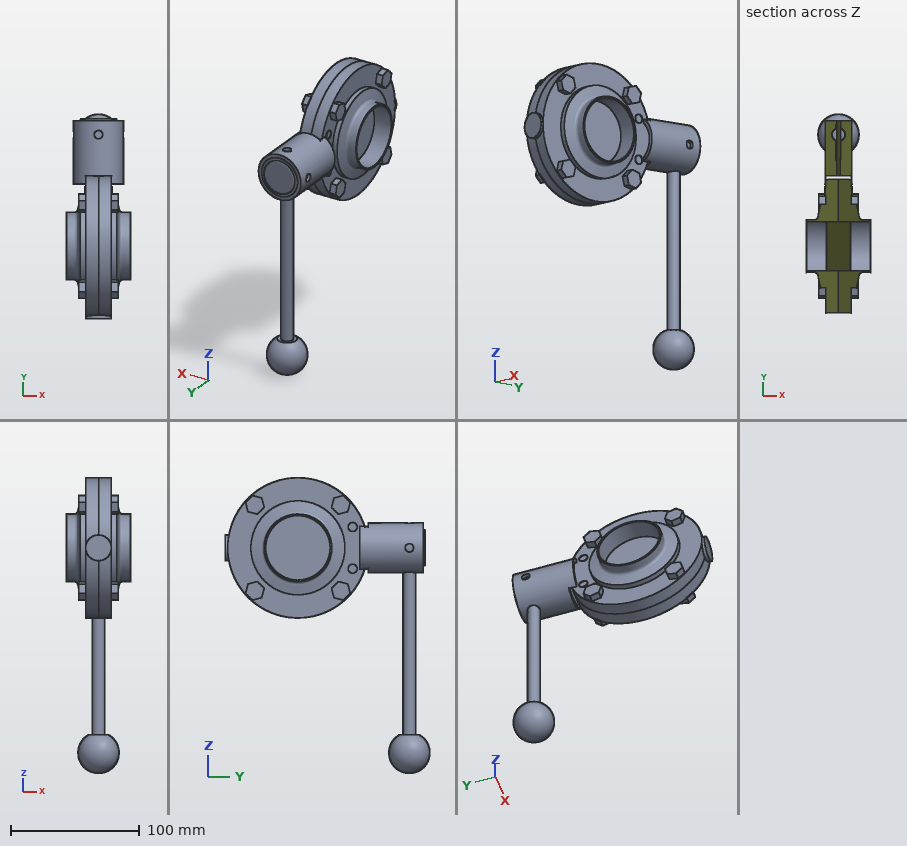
import cadquery as cq
import math


flange_radius = 54.5
flange_thickness = 20.0
body_length = 50.0
bore_radius = 25.0
tube_radius = 26.3
hub_radius = 36.5
hub_edge_x = 14.2
neck_x = 16.0
neck_radius = 28.9
neck_fillet_end_x = 18.7
flange_face_x = flange_thickness / 2

bolt_circle_radius = 47.2
bolt_head_flats = 13.0
bolt_head_height = 5.5
bolt_count = 4
stop_pin_radius = 3.5
stop_pin_height = 0.5
stop_pin_y = 42.5
stop_pin_z = 16.2

disc_thickness = 19.0
trunnion_radius = 6.0
stem_radius = 16.5
stem_tip_radius = 14.0
stem_tip_y = 98.7
stem_tip_fillet = 0.6
bottom_cap_radius = 10.0
bottom_cap_end_y = -56.5

sleeve_radius = 19.5
sleeve_start_y = 48.0
sleeve_end_y = 97.4
sleeve_hole_diameter = 6.5

ball_radius = 16.0
ball_flat_height = 14.0
rod_diameter = 10.0
total_length_y = 159.0
total_height_z = 229.5
lever_y = bottom_cap_end_y + total_length_y - ball_radius
ball_center_z = flange_radius - total_height_z + ball_radius


def cylinder_along_y(radius, start_y, end_y):
    """Cylinder on the stem axis between two Y positions."""
    base = cq.Workplane("XZ", origin=(0, start_y, 0))
    return base.circle(radius).extrude(start_y - end_y)


def neck_arc_middle():
    """Middle point of the hollow arc that meets the tube tangentially and ends at the neck."""
    run = neck_fillet_end_x - neck_x
    rise = neck_radius - tube_radius
    arc_radius = (run**2 + rise**2) / (2 * rise)
    half_sweep = math.asin(run / arc_radius) / 2
    x = neck_fillet_end_x - arc_radius * math.sin(half_sweep)
    radius = tube_radius + arc_radius * (1 - math.cos(half_sweep))
    return (x, radius)


def make_right_half():
    """Half of the body on the +X side, with its bolt heads and stop pins."""
    half = (
        cq.Workplane("XY")
        .moveTo(0, bore_radius)
        .lineTo(0, flange_radius)
        .lineTo(flange_face_x, flange_radius)
        .lineTo(flange_face_x, hub_radius)
        .lineTo(hub_edge_x, hub_radius)
        .lineTo(neck_x, neck_radius)
        .threePointArc(neck_arc_middle(), (neck_fillet_end_x, tube_radius))
        .lineTo(body_length / 2, tube_radius)
        .lineTo(body_length / 2, bore_radius)
        .close()
        .revolve(360, (0, 0), (1, 0))
    )

    face = cq.Workplane("YZ", origin=(flange_face_x, 0, 0))
    head_diameter = bolt_head_flats / math.cos(math.pi / 6)
    bolt_head = (
        face.center(0, bolt_circle_radius)
        .polygon(6, head_diameter)
        .extrude(bolt_head_height)
    )
    bolt_step = 360 / bolt_count
    for index in range(bolt_count):
        angle = (index + 0.5) * bolt_step
        half = half.union(bolt_head.rotate((0, 0, 0), (1, 0, 0), angle))

    stop_pins = (
        face.pushPoints([(stop_pin_y, -stop_pin_z), (stop_pin_y, stop_pin_z)])
        .circle(stop_pin_radius)
        .extrude(stop_pin_height)
    )
    trunnion_hole = cylinder_along_y(trunnion_radius, -flange_radius, flange_radius)
    return half.union(stop_pins).cut(trunnion_hole)


def make_disc_and_stem():
    """Closing disc with its two trunnions, the bottom cap and the thick upper stem."""
    disc = cq.Workplane("YZ").circle(bore_radius).extrude(disc_thickness / 2, both=True)
    trunnions = cylinder_along_y(trunnion_radius, -flange_radius, flange_radius)
    stem = cylinder_along_y(stem_radius, flange_radius, sleeve_end_y)
    stem_tip = cylinder_along_y(stem_tip_radius, flange_radius, stem_tip_y)
    stem_tip = stem_tip.faces(">Y").edges().fillet(stem_tip_fillet)

    rim = cq.Workplane("YZ").circle(flange_radius).extrude(flange_thickness, both=True)
    cap = cylinder_along_y(bottom_cap_radius, bottom_cap_end_y, -bore_radius).cut(rim)
    return disc.union(trunnions).union(stem).union(stem_tip).union(cap)


def make_sleeve():
    """Sleeve on the stem, slotted to straddle the flange and drilled across at the lever."""
    sleeve = cylinder_along_y(sleeve_radius, sleeve_start_y, sleeve_end_y)
    stem_bore = cylinder_along_y(stem_radius, sleeve_start_y, sleeve_end_y)
    slot = cq.Workplane("XY").box(flange_thickness, 2 * flange_radius, 2 * sleeve_radius)
    lever_hole = (
        cq.Workplane("XY", origin=(0, lever_y, 0))
        .circle(rod_diameter / 2)
        .extrude(-sleeve_radius)
    )
    top_hole = (
        cq.Workplane("XY", origin=(0, lever_y, 0))
        .circle(sleeve_hole_diameter / 2)
        .extrude(sleeve_radius)
    )
    side_holes = (
        cq.Workplane("YZ", origin=(0, lever_y, 0))
        .circle(sleeve_hole_diameter / 2)
        .extrude(sleeve_radius, both=True)
    )
    sleeve = sleeve.cut(stem_bore).cut(slot)
    return sleeve.cut(lever_hole).cut(top_hole).cut(side_holes)


def make_lever():
    """Round rod with a ball knob that is flattened where the rod enters."""
    ball_center = (0, lever_y, ball_center_z)
    flat_radius = math.sqrt(ball_radius**2 - ball_flat_height**2)
    ball = (
        cq.Workplane("XZ", origin=ball_center)
        .moveTo(0, -ball_radius)
        .threePointArc((ball_radius, 0), (flat_radius, ball_flat_height))
        .lineTo(0, ball_flat_height)
        .close()
        .revolve(360, (0, 0), (0, 1))
    )
    rod_length = -stem_radius - ball_center_z
    rod = cq.Workplane("XY", origin=ball_center).circle(rod_diameter / 2).extrude(rod_length)
    return ball.union(rod)


right_half = make_right_half()
left_half = right_half.mirror("YZ")
disc_and_stem = make_disc_and_stem()
sleeve = make_sleeve()
lever = make_lever()

result = cq.Compound.makeCompound(
    [left_half.val(), right_half.val(), disc_and_stem.val(), sleeve.val(), lever.val()]
)